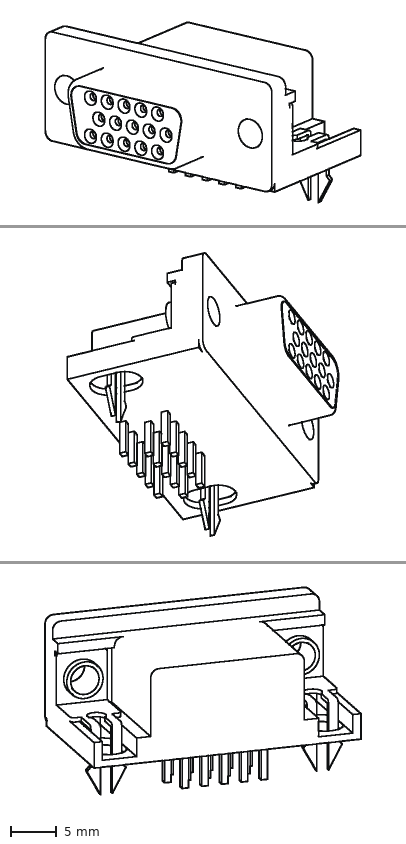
import cadquery as cq
import math


WIDTH = 30.85
FLANGE_HEIGHT = 12.55
FLANGE_REAR = 2.5
FLANGE_CORNER = 1.0
SHEET = 0.5
WALL_REAR = 3.3
LEDGE_REAR = 4.25
LEDGE_BOTTOM = 9.45
BODY_REAR = 16.2
BODY_TOP = 10.6
BODY_WIDTH = 17.75
BODY_EDGE = 1.0
SIDE_WALL_TOP = 2.93

MOUNT_X = 12.5
MOUNT_Z = FLANGE_HEIGHT / 2
MOUNT_RADIUS = 1.63
BOSS_RADIUS = 2.1
BOSS_LENGTH = 1.02
BRACKET_HALF_WIDTH = WIDTH / 2 - MOUNT_X
BRACKET_CORNER = 0.5
SHOULDER_Y = 8.67
KEYHOLE_RADIUS = 1.05
PRONG_INNER = 0.68
PRONG_OUTER = 1.8
PRONG_REAR = 11.95
BARB_OUTER = 2.25
BARB_TOP = -1.3
BARB_CORNER = -1.75
PRONG_TIP = -4.6

CHANNEL_FLOOR = 0.8
CHANNEL_HALF_WIDTH = 1.97
SLOT_RADIUS = 1.95
SLOT_REAR = 14.62

PLUG_FRONT = 5.83
PLUG_HEIGHT = 7.95
PLUG_WIDTH = 16.4
PLUG_CORNER = 2.0
PLUG_ANGLE = 10.0
PLUG_EDGE = 0.5
FLARE = 0.5
INSERT_INSET = 0.7
INSERT_FRONT = 5.92

PITCH = 2.28
ROW_SPACING = 2.2
FIRST_CONTACT_X = -4.85
CONTACTS_PER_ROW = 5
SOCKET_RADIUS = 0.4
SOCKET_DEPTH = 1.0
SOCKET_TIP = 0.25
FUNNEL_RADIUS = 0.8
FUNNEL_DEPTH = 0.5
PIN_SIZE = 0.75
PIN_LENGTH = 4.0
PIN_MIDDLE_Y = 11.65
PIN_ROW_SPACING = 2.5

OVERLAP = 0.3


def box(x_range, y_range, z_range):
    """Axis-aligned block between the given pairs of limits."""
    (x0, x1), (y0, y1), (z0, z1) = x_range, y_range, z_range
    return cq.Workplane("XY").box(x1 - x0, y1 - y0, z1 - z0, centered=False).translate((x0, y0, z0))


def rod(x, z, radius, front, rear):
    """Cylinder along Y from front to rear."""
    return cq.Workplane("XZ", origin=(x, front, z)).circle(radius).extrude(front - rear)


def make_housing():
    """Flange, rear wall with its ledge, low base and the tall body between the brackets."""
    half = WIDTH / 2
    full = (-half, half)
    front_sheet = box(full, (0, SHEET), (0, FLANGE_HEIGHT)).edges("|Y").fillet(FLANGE_CORNER)
    flange = box(full, (SHEET, FLANGE_REAR), (0, FLANGE_HEIGHT)).edges("|Y and >Z").fillet(FLANGE_CORNER)
    wall = box(full, (FLANGE_REAR - OVERLAP, WALL_REAR), (0, BODY_TOP))
    ledge = box(full, (WALL_REAR - OVERLAP, LEDGE_REAR), (LEDGE_BOTTOM, BODY_TOP))
    base = box(full, (FLANGE_REAR - OVERLAP, BODY_REAR), (0, SIDE_WALL_TOP))
    body = box((-BODY_WIDTH / 2, BODY_WIDTH / 2), (FLANGE_REAR, BODY_REAR), (0, BODY_TOP))
    body = body.edges("|Y and >Z").fillet(BODY_EDGE)
    return front_sheet.union(flange).union(wall).union(ledge).union(base).union(body)


def cut_channel(housing, center_x):
    """Open-ended channel under the bracket with a round-ended slot through its floor."""
    channel = box(
        (center_x - CHANNEL_HALF_WIDTH, center_x + CHANNEL_HALF_WIDTH),
        (LEDGE_REAR, BODY_REAR),
        (CHANNEL_FLOOR, SIDE_WALL_TOP),
    )
    slot_length = SLOT_REAR - SHOULDER_Y
    slot = (
        cq.Workplane("XY")
        .center(center_x, SHOULDER_Y + slot_length / 2)
        .slot2D(slot_length, 2 * SLOT_RADIUS, 90)
        .extrude(CHANNEL_FLOOR)
    )
    return housing.cut(channel).cut(slot)


def make_bracket():
    """Bent sheet bracket centred on X = 0 with a keyhole and two barbed prongs."""
    plate_top = SIDE_WALL_TOP + SHEET
    sides = (-BRACKET_HALF_WIDTH, BRACKET_HALF_WIDTH)
    upright = box(sides, (WALL_REAR, WALL_REAR + SHEET), (SIDE_WALL_TOP, LEDGE_BOTTOM))
    upright = upright.edges("|Y and >Z").fillet(BRACKET_CORNER)
    plate = box(sides, (WALL_REAR, SHOULDER_Y), (SIDE_WALL_TOP, plate_top))
    plate = plate.edges("|Z and >Y").fillet(BRACKET_CORNER)

    tongue = box((PRONG_INNER, PRONG_OUTER), (SHOULDER_Y - OVERLAP, PRONG_REAR), (SIDE_WALL_TOP, plate_top))
    leg_outline = [
        (PRONG_INNER, plate_top),
        (PRONG_OUTER, plate_top),
        (PRONG_OUTER, BARB_TOP),
        (BARB_OUTER, BARB_CORNER),
        (PRONG_INNER, PRONG_TIP),
    ]
    leg = cq.Workplane("XZ", origin=(0, PRONG_REAR, 0)).polyline(leg_outline).close().extrude(SHEET)
    prong = tongue.union(leg).edges("|X and >Y and >Z").fillet(SHEET)

    keyhole = cq.Workplane("XY").center(0, SHOULDER_Y).circle(KEYHOLE_RADIUS).extrude(plate_top)
    bracket = upright.union(plate).union(prong).union(prong.mirror("YZ")).cut(keyhole)
    boss_front = WALL_REAR + SHEET
    return bracket.union(rod(0, MOUNT_Z, BOSS_RADIUS, boss_front, boss_front + BOSS_LENGTH))


def d_prism(inset, front):
    """D-shaped prism from the flange face forward, its outline moved in evenly by inset."""
    slope = math.radians(PLUG_ANGLE)
    half_height = PLUG_HEIGHT / 2 - inset
    corner = PLUG_CORNER - inset
    arc_x = PLUG_WIDTH / 2 - PLUG_CORNER
    arc_rise = PLUG_HEIGHT / 2 - PLUG_CORNER
    middle_x = arc_x - arc_rise * math.tan(slope) + corner / math.cos(slope)
    spread = half_height * math.tan(slope)
    outline = [
        (-middle_x - spread, MOUNT_Z + half_height),
        (middle_x + spread, MOUNT_Z + half_height),
        (middle_x - spread, MOUNT_Z - half_height),
        (-middle_x + spread, MOUNT_Z - half_height),
    ]
    prism = cq.Workplane("XZ").polyline(outline).close().extrude(front)
    return prism.edges("|Y").fillet(corner)


def make_plug():
    """Metal D-shell with a rounded front edge around the insulator face."""
    shell = d_prism(0, PLUG_FRONT).faces("<Y").edges().fillet(PLUG_EDGE)
    return shell.union(d_prism(INSERT_INSET, INSERT_FRONT))


def contact_places():
    """Row number (-1 lower, 0 middle, 1 upper) and X of every contact."""
    places = []
    for row in (-1, 0, 1):
        row_x = FIRST_CONTACT_X + (PITCH / 2 if row == 0 else 0)
        for column in range(CONTACTS_PER_ROW):
            places.append((row, row_x + column * PITCH))
    return places


def cut_sockets(part):
    """Funnel-mouthed blind holes for the contacts in the insulator face."""
    profile = [
        (0, 0),
        (FUNNEL_RADIUS, 0),
        (SOCKET_RADIUS, FUNNEL_DEPTH),
        (SOCKET_RADIUS, SOCKET_DEPTH),
        (0, SOCKET_DEPTH + SOCKET_TIP),
    ]
    socket = cq.Workplane("XY").polyline(profile).close().revolve(360, (0, 0, 0), (0, 1, 0))
    socket = socket.translate((0, -INSERT_FRONT, 0))
    for row, x in contact_places():
        part = part.cut(socket.translate((x, 0, MOUNT_Z + row * ROW_SPACING)))
    return part


def add_pins(part):
    """Square solder pins: the upper contact row ends rearmost, the lower row foremost."""
    half = PIN_SIZE / 2
    pin = box((-half, half), (-half, half), (-PIN_LENGTH, OVERLAP))
    for row, x in contact_places():
        part = part.union(pin.translate((x, PIN_MIDDLE_Y + row * PIN_ROW_SPACING, 0)))
    return part


def flare_plug(part):
    """Fillet all around the foot of the plug."""
    reach_x = PLUG_WIDTH / 2 + OVERLAP
    reach_z = PLUG_HEIGHT / 2 + OVERLAP
    foot = cq.selectors.BoxSelector(
        (-reach_x, -FLARE / 2, MOUNT_Z - reach_z), (reach_x, FLARE / 2, MOUNT_Z + reach_z)
    )
    return part.edges(foot).fillet(FLARE)


result = flare_plug(make_housing().union(make_plug()))
for mount_x in (-MOUNT_X, MOUNT_X):
    result = cut_channel(result, mount_x)
    result = result.union(make_bracket().translate((mount_x, 0, 0)))
    result = result.cut(rod(mount_x, MOUNT_Z, MOUNT_RADIUS, 0, LEDGE_REAR + BOSS_LENGTH))
result = add_pins(cut_sockets(result))